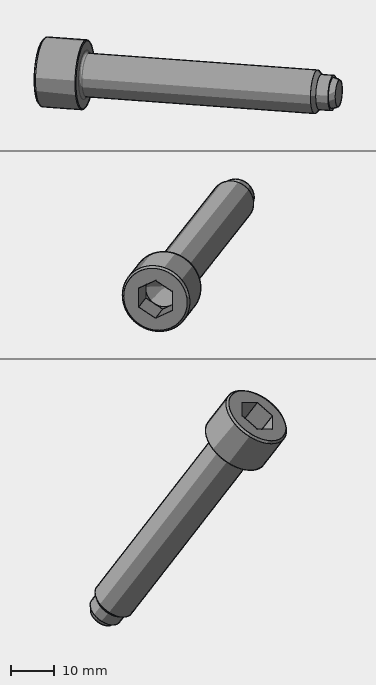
import cadquery as cq
import math

total_length = 70.0
head_diameter = 16.0
head_length = 10.0
head_front_chamfer = 0.5
head_back_chamfer = 0.2

shank_diameter = 10.0
neck_fillet = 0.6
shank_chamfer_start = 64.7

sleeve_radius = 4.05
sleeve_start = 65.65
sleeve_end = 68.5
ball_radius = 3.6
ball_centre = 68.2

socket_across_flats = 8.0
socket_depth = 6.0
socket_cone_angle = 120.0

head_radius = head_diameter / 2
shank_radius = shank_diameter / 2


def ball_height(x):
    """Radius of the ball's round section at a place along the axis."""
    return math.sqrt(ball_radius**2 - (x - ball_centre) ** 2)


def make_body():
    """Revolve the half profile of the head, shank, sleeve and ball."""
    fillet_diagonal = neck_fillet * (1 - math.sqrt(0.5))
    ball_middle = (sleeve_end + total_length) / 2
    profile = (
        cq.Workplane("XY")
        .lineTo(0, head_radius - head_front_chamfer)
        .lineTo(head_front_chamfer, head_radius)
        .lineTo(head_length - head_back_chamfer, head_radius)
        .lineTo(head_length, head_radius - head_back_chamfer)
        .lineTo(head_length, shank_radius + neck_fillet)
        .threePointArc(
            (head_length + fillet_diagonal, shank_radius + fillet_diagonal),
            (head_length + neck_fillet, shank_radius),
        )
        .lineTo(shank_chamfer_start, shank_radius)
        .lineTo(sleeve_start, sleeve_radius)
        .lineTo(sleeve_end, sleeve_radius)
        .lineTo(sleeve_end, ball_height(sleeve_end))
        .threePointArc(
            (ball_middle, ball_height(ball_middle)),
            (total_length, ball_height(total_length)),
        )
        .lineTo(total_length, 0)
        .close()
    )
    return profile.revolve(360, (0, 0, 0), (1, 0, 0))


def make_socket():
    """Hexagonal hole with flats facing +Y and -Y, ending in a cone."""
    corner_diameter = socket_across_flats / math.cos(math.pi / 6)
    hexagon = (
        cq.Workplane("YZ")
        .transformed(rotate=(0, 0, 90))
        .polygon(6, corner_diameter)
        .extrude(socket_depth)
    )
    cone_radius = socket_across_flats / 2
    cone_depth = cone_radius / math.tan(math.radians(socket_cone_angle / 2))
    cone = (
        cq.Workplane("XY")
        .moveTo(socket_depth, 0)
        .lineTo(socket_depth, cone_radius)
        .lineTo(socket_depth + cone_depth, 0)
        .close()
        .revolve(360, (0, 0, 0), (1, 0, 0))
    )
    return hexagon.union(cone)


result = make_body().cut(make_socket())